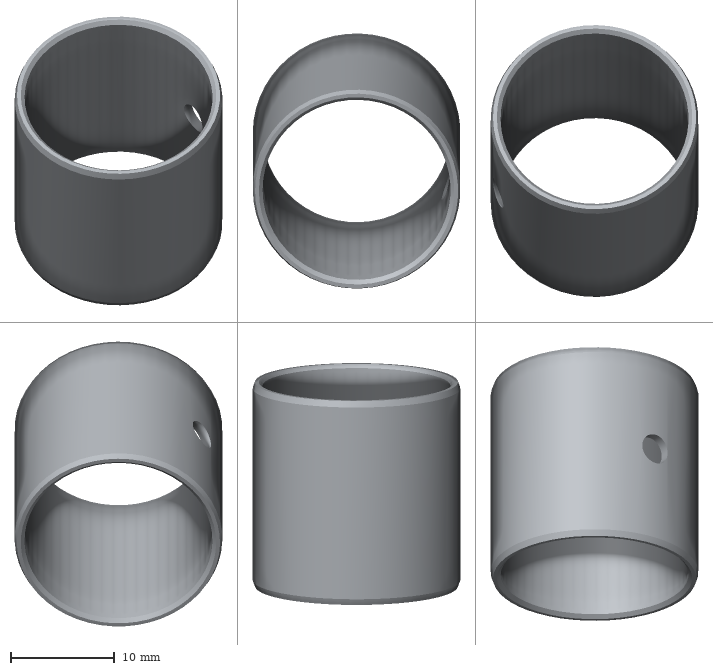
import cadquery as cq

outer_diameter = 20.0
length = 20.0
bore_diameter = 18.1

outer_chamfer_length = 0.6
outer_chamfer_depth = 0.22

bore_chamfer = 0.35

oil_hole_diameter = 3.0

outer_radius = outer_diameter / 2
bore_radius = bore_diameter / 2
half_length = length / 2


def make_sleeve():
    """Revolve the wall section, chamfered at all four corners, about Z."""
    end_outer_radius = outer_radius - outer_chamfer_depth
    end_bore_radius = bore_radius + bore_chamfer
    outer_edge_z = half_length - outer_chamfer_length
    bore_edge_z = half_length - bore_chamfer
    wall_section = [
        (bore_radius, -bore_edge_z),
        (end_bore_radius, -half_length),
        (end_outer_radius, -half_length),
        (outer_radius, -outer_edge_z),
        (outer_radius, outer_edge_z),
        (end_outer_radius, half_length),
        (end_bore_radius, half_length),
        (bore_radius, bore_edge_z),
    ]
    return cq.Workplane("XZ").polyline(wall_section).close().revolve(360, (0, 0), (0, 1))


def make_oil_hole():
    """Cylinder running from the part axis out past the +Y wall."""
    return cq.Workplane("XZ").circle(oil_hole_diameter / 2).extrude(-outer_diameter)


result = make_sleeve().cut(make_oil_hole())